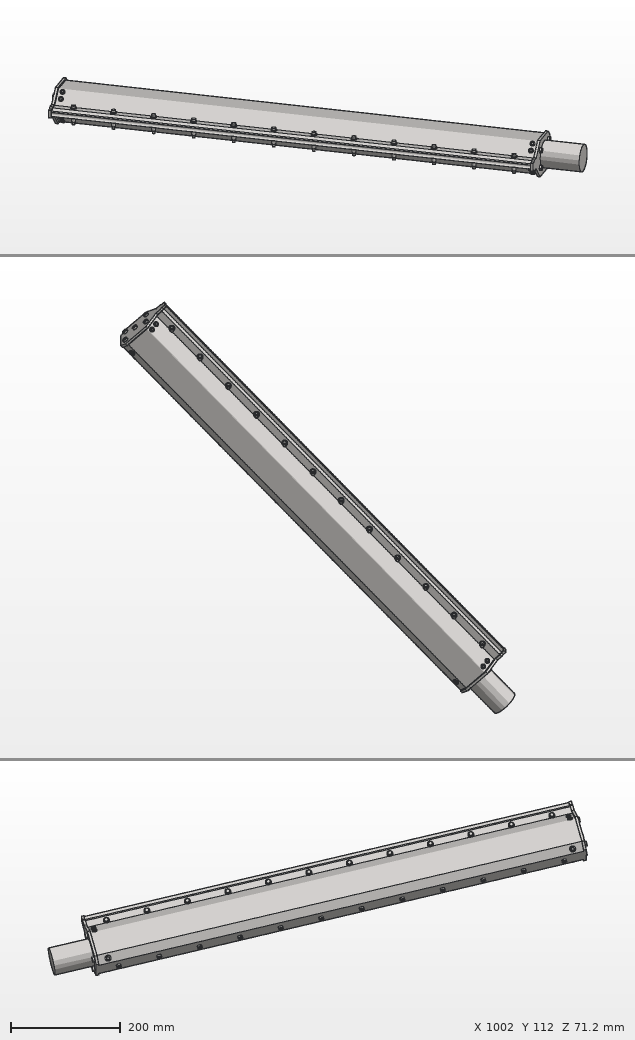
import cadquery as cq
import math


head_height = 4.0

total_length = 1002.0
plate_span = 924.0
plate_thickness = 5.0
pipe_end = total_length - head_height
pipe_diameter = 51.0

back_y = 37.0
tip_y = -71.0
body_half_height = 32.0
body_back_chamfer = 14.0
shoulder_y = -23.0
shoulder_fillet = 3.0
ledge_half_height = 8.5
ledge_front_y = -60.0
lip_half_height = 4.0
groove_diameter = 7.6

plate_half_height = 35.6
plate_back_chamfer = 12.0
plate_shoulder_y = -26.0
plate_ledge_half_height = 11.0
plate_ledge_front_y = -61.0
plate_lip_half_height = 7.5

socket_diameter_ratio = 0.5
socket_depth_ratio = 0.5

screw_count = 12
screw_end_distance = 42.0
screw_pitch = (plate_span - 2 * screw_end_distance) / (screw_count - 1)
screw_stations = [screw_end_distance + i * screw_pitch for i in range(screw_count)]
back_head_diameter = 8.5

clamp_y = -51.0
washer_diameter = 11.0
washer_thickness = 1.5
clamp_head_diameter = 7.6
clamp_head_top = 14.0
nut_bottom = -18.0
shank_diameter = 5.0
shank_bottom = -23.0

end_head_diameter = 9.5
end_back_screw = (24.0, 20.0)
end_front_screw = (-27.0, 17.0)

slope_angle = 45
slope_head_diameter = 9.0
slope_head_height = 2.0
shoulder_screw_inset = 14.0
shoulder_screw_ys = (-27.0, -37.0)
chamfer_head_diameter = 11.0
chamfer_screw_inset = 24.0
chamfer_screw_y = 30.0


def section(half_height, back_chamfer, shoulder, ledge, ledge_front, lip):
    """Symmetric outline in the YZ plane with 45 degree slopes."""
    upper = [
        (back_y, half_height - back_chamfer),
        (back_y - back_chamfer, half_height),
        (shoulder, half_height),
        (shoulder - (half_height - ledge), ledge),
        (ledge_front, ledge),
        (ledge_front - (ledge - lip), lip),
        (tip_y, lip),
    ]
    lower = [(y, -z) for y, z in reversed(upper)]
    return cq.Workplane("YZ").polyline(upper + lower).close()


def cylinder(base, direction, diameter, height):
    return cq.Workplane(cq.Solid.makeCylinder(diameter / 2, height, cq.Vector(base), cq.Vector(direction)))


def socket_head(base, direction, diameter, height):
    """Screw head standing on base, with a round socket in its top."""
    depth = socket_depth_ratio * height
    floor = cq.Vector(base) + cq.Vector(direction) * (height - depth)
    socket = cylinder(floor.toTuple(), direction, socket_diameter_ratio * diameter, depth)
    return cylinder(base, direction, diameter, height).cut(socket)


def body():
    bar = section(
        body_half_height, body_back_chamfer, shoulder_y, ledge_half_height, ledge_front_y, lip_half_height
    ).extrude(plate_span)
    for side in (1, -1):
        shoulder = cq.selectors.NearestToPointSelector((plate_span / 2, shoulder_y, side * body_half_height))
        bar = bar.edges(shoulder).fillet(shoulder_fillet)
    groove = cylinder((0, tip_y, 0), (1, 0, 0), groove_diameter, plate_span)
    return bar.cut(groove)


def end_plate(start):
    outline = section(
        plate_half_height,
        plate_back_chamfer,
        plate_shoulder_y,
        plate_ledge_half_height,
        plate_ledge_front_y,
        plate_lip_half_height,
    )
    return outline.extrude(plate_thickness).translate((start, 0, 0))


def end_heads(face_x, outward):
    """Four screw heads on the outer face of an end plate."""
    heads = []
    for y, z in (end_back_screw, end_front_screw):
        for side in (1, -1):
            heads.append(socket_head((face_x, y, side * z), (outward, 0, 0), end_head_diameter, head_height))
    return heads


def clamp_screw(x):
    """Washer and head above the ledge; washer, nut and shank end below it."""
    washer_reach = ledge_half_height + washer_thickness
    up = (0, 0, 1)
    return [
        cylinder((x, clamp_y, -washer_reach), up, washer_diameter, 2 * washer_reach),
        cylinder((x, clamp_y, nut_bottom), up, clamp_head_diameter, clamp_head_top - nut_bottom),
        cylinder((x, clamp_y, shank_bottom), up, shank_diameter, -shank_bottom),
    ]


def slope_heads():
    """Heads on the front slopes and on the back chamfers, near both ends."""
    across = math.cos(math.radians(slope_angle))
    up = math.sin(math.radians(slope_angle))
    heads = []
    for side in (1, -1):
        for x in (shoulder_screw_inset, plate_span - shoulder_screw_inset):
            for y in shoulder_screw_ys:
                z = body_half_height + y - shoulder_y
                outward = (0, -across, side * up)
                heads.append(socket_head((x, y, side * z), outward, slope_head_diameter, slope_head_height))
        for x in (chamfer_screw_inset, plate_span - chamfer_screw_inset):
            z = body_half_height - body_back_chamfer + back_y - chamfer_screw_y
            base = (x, chamfer_screw_y, side * z)
            outward = (0, across, side * up)
            heads.append(socket_head(base, outward, chamfer_head_diameter, slope_head_height))
    return heads


parts = [end_plate(0), end_plate(plate_span - plate_thickness)]
parts.append(cylinder((plate_span, 0, 0), (1, 0, 0), pipe_diameter, pipe_end - plate_span))
parts.append(socket_head((0, 0, 0), (-1, 0, 0), end_head_diameter, head_height))
parts += end_heads(0, -1) + end_heads(plate_span, 1)
for station in screw_stations:
    parts.append(socket_head((station, back_y, 0), (0, 1, 0), back_head_diameter, head_height))
    parts += clamp_screw(station)
parts += slope_heads()

result = body()
for part in parts:
    result = result.union(part)